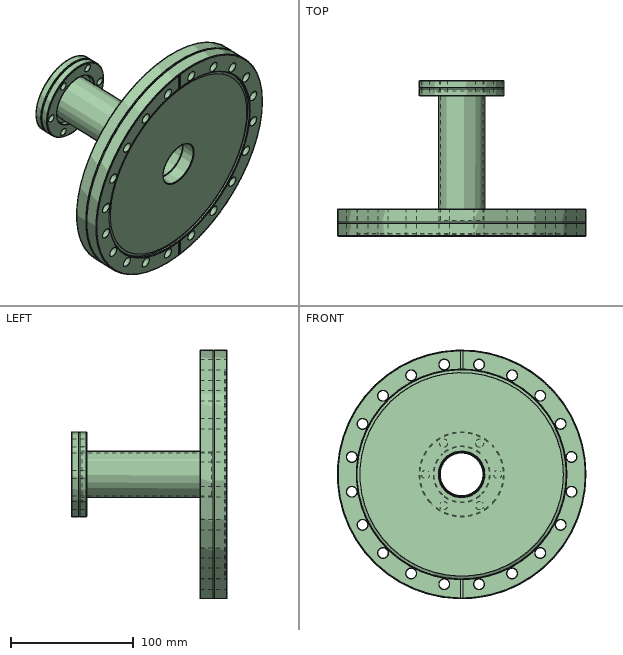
import cadquery as cq
TOTAL_LENGTH = 127.0

LARGE_DIAMETER = 202.5
LARGE_THICKNESS = 22.3
LARGE_EDGE_CHAMFER = 0.6
LARGE_BOLT_COUNT = 20
LARGE_BOLT_CIRCLE = 181.0
LARGE_BOLT_HOLE = 8.5
LARGE_FIRST_BOLT_ANGLE = 180 / LARGE_BOLT_COUNT

SEAL_DIAMETER = 171.5
SEAL_DEPTH = 2.2
SEAL_CHAMFER = 0.6
KNIFE_DIAMETER = 165.5
KNIFE_HEIGHT = 1.0

LEAK_GROOVE_WIDTH = 1.8
LEAK_GROOVE_DEPTH = 0.5

TUBE_OUTER = 38.0
TUBE_BORE = 34.8
ENTRY_BORE = 36.6
ENTRY_DEPTH = 12.8

MOUTH_CHAMFER = 0.5

SMALL_DIAMETER = 69.2
SMALL_THICKNESS = 12.8
SMALL_EDGE_CHAMFER = 0.6
SMALL_BOLT_COUNT = 6
SMALL_BOLT_CIRCLE = 58.7
SMALL_BOLT_HOLE = 6.7
SMALL_FIRST_BOLT_ANGLE = 0
WELD_RECESS_DIAMETER = 45.1
WELD_RECESS_DEPTH = 4.0

RIM_GROOVE_WIDTH = 1.2
RIM_GROOVE_DEPTH = 0.16

CENTER_FACE = SEAL_DEPTH - KNIFE_HEIGHT
SMALL_START = TOTAL_LENGTH - SMALL_THICKNESS


def disk(diameter, start, length):
    """Cylinder on the Y axis running from y = start toward +Y."""
    return cq.Workplane("XZ", origin=(0, start, 0)).circle(diameter / 2).extrude(-length)


def revolve_about_y(profile):
    """Solid of revolution about Y from (radius, y) points."""
    return cq.Workplane("XY").polyline(profile).close().revolve(360, (0, 0, 0), (0, 1, 0))


def bolt_holes(count, circle_diameter, hole_diameter, first_angle, start, length):
    """Ring of axial hole cutters; the first hole lies first_angle degrees from +X."""
    return (
        cq.Workplane("XZ", origin=(0, start, 0))
        .polarArray(circle_diameter / 2, first_angle, 360, count)
        .circle(hole_diameter / 2)
        .extrude(-length)
    )


def chamfered_bore(diameter, start, depth):
    """Blind bore cutter entering at y = start, widened by a 45 degree chamfer at its mouth."""
    radius = diameter / 2
    return revolve_about_y([
        (0, start),
        (radius + MOUTH_CHAMFER, start),
        (radius, start + MOUTH_CHAMFER),
        (radius, start + depth),
        (0, start + depth),
    ])


def flange(diameter, start, thickness, chamfer):
    """Chamfered disk with a shallow groove around its rim."""
    body = disk(diameter, start, thickness).edges().chamfer(chamfer)
    groove_start = start + (thickness - RIM_GROOVE_WIDTH) / 2
    groove = disk(diameter + 2, groove_start, RIM_GROOVE_WIDTH).cut(
        disk(diameter - 2 * RIM_GROOVE_DEPTH, groove_start, RIM_GROOVE_WIDTH)
    )
    return body.cut(groove)


def seal_recess():
    """Recess with a chamfered wall, a cone rising inward to the knife edge, and a flat center."""
    wall_radius = SEAL_DIAMETER / 2 - SEAL_CHAMFER
    return revolve_about_y([
        (0, 0),
        (SEAL_DIAMETER / 2, 0),
        (wall_radius, SEAL_CHAMFER),
        (wall_radius, SEAL_DEPTH),
        (KNIFE_DIAMETER / 2, CENTER_FACE),
        (0, CENTER_FACE),
    ])


def leak_grooves():
    """Two opposite grooves along Z, from the seal recess out to the rim."""
    slot = cq.Workplane("XY").box(
        LEAK_GROOVE_WIDTH, LEAK_GROOVE_DEPTH, LARGE_DIAMETER, centered=(True, False, True)
    )
    return slot.cut(disk(SEAL_DIAMETER, 0, LEAK_GROOVE_DEPTH))


large_bolt_holes = bolt_holes(
    LARGE_BOLT_COUNT, LARGE_BOLT_CIRCLE, LARGE_BOLT_HOLE, LARGE_FIRST_BOLT_ANGLE, 0, LARGE_THICKNESS
)
large_flange = (
    flange(LARGE_DIAMETER, 0, LARGE_THICKNESS, LARGE_EDGE_CHAMFER)
    .cut(large_bolt_holes)
    .cut(seal_recess())
    .cut(leak_grooves())
)

small_bolt_holes = bolt_holes(
    SMALL_BOLT_COUNT, SMALL_BOLT_CIRCLE, SMALL_BOLT_HOLE, SMALL_FIRST_BOLT_ANGLE, SMALL_START, SMALL_THICKNESS
)
small_flange = (
    flange(SMALL_DIAMETER, SMALL_START, SMALL_THICKNESS, SMALL_EDGE_CHAMFER)
    .cut(small_bolt_holes)
    .cut(chamfered_bore(WELD_RECESS_DIAMETER, SMALL_START, WELD_RECESS_DEPTH))
)

tube = disk(TUBE_OUTER, ENTRY_DEPTH, TOTAL_LENGTH - ENTRY_DEPTH)

result = (
    large_flange.union(small_flange)
    .union(tube)
    .cut(disk(TUBE_BORE, 0, TOTAL_LENGTH))
    .cut(chamfered_bore(ENTRY_BORE, CENTER_FACE, ENTRY_DEPTH - CENTER_FACE))
)